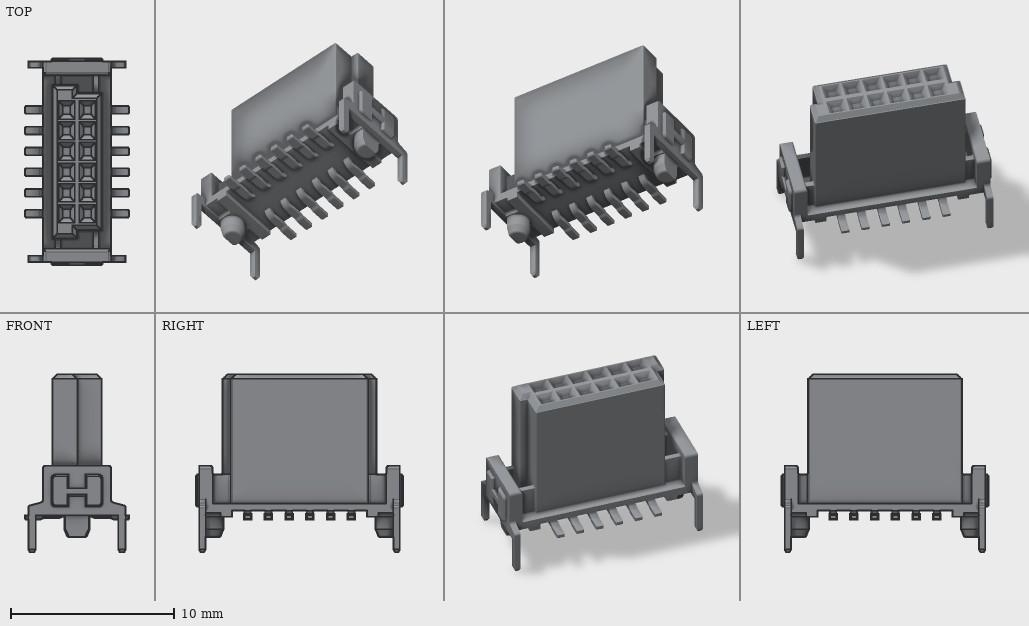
import cadquery as cq
import math


PITCH = 1.27
CONTACTS_PER_ROW = 6
COLUMN_X = PITCH / 2

HOUSING_HALF_X = 2.09
HOUSING_HALF_Y = 5.75
FLOOR_Z = 0.97
BASE_BOTTOM_Z = 0.556
PAD_BOTTOM_Z = 0.17
PAD_INNER_Y = 4.12
WALL_INNER_Y = 5.315
WALL_TOP_Z = 3.31
WALL_FILLET = 0.18
BASE_FILLET = 0.09

RECESS_INNER_X = 0.86
RECESS_INNER_Y = 4.82
RECESS_TOP_Z = 0.44
RECESS_FILLET = 0.1

TOWER_HALF_X = 1.53
TOWER_STEP_X = 0.035
TOWER_WIDE_HALF_Y = 4.72
TOWER_NARROW_HALF_Y = 4.22
TOWER_RIM_Z = 8.64
TOWER_TOP_Z = 8.91
TOWER_EDGE_FILLET = 0.09
RIM_LEDGE = 0.05

SOCKET_MOUTH = (0.985, 1.11)
SOCKET_FLOOR = (0.45, 0.51)
SOCKET_DEPTH = 0.34

RIB_CENTER_X = 1.16
RIB_WIDTH = 0.34
RIB_TOP_Z = 2.78
RIB_FLARE = 0.1

PEG_Y = 5.43
PEG_RADIUS = 0.78
PEG_SHOULDER_Z = -0.58
PEG_TIP_RADIUS = 0.58
PEG_TIP_Z = -1.065
PEG_TIP_FILLET = 0.15

PLATE_THICKNESS = 0.4
PLATE_BOTTOM_Z = 0.26
LEG_OUTER_X = 2.985
LEG_WIDTH = 0.46
LEG_TIP_Z = -2.0
LEG_TIP_LENGTH = 0.19
LEG_TIP_INSET = 0.1
SHOULDER_Z = 0.85
SHOULDER_ANGLE = 15.0
SHOULDER_INNER_FILLET = 0.2
SHOULDER_OUTER_FILLET = 0.15

H_HEIGHT = 0.2
H_HALF_X = 1.57
H_GAP_HALF_X = 0.49
H_BOTTOM_Z = 0.78
H_TOP_Z = 2.77
H_BAR_BOTTOM_Z = 1.45
H_BAR_TOP_Z = 1.93
H_CORNER_FILLET = 0.25
H_BEVEL = 0.1

LEAD_TIP_X = 3.2
LEAD_THICKNESS = 0.26
LEAD_WIDTH = 0.49
LEAD_NECK_WIDTH = 0.4
LEAD_RISE = 0.09
LEAD_RISE_OUTER_X = 2.32
LEAD_RISE_INNER_X = 2.0
LEAD_TAPER_OUTER_X = 1.5
LEAD_TAPER_INNER_X = 1.03
LEAD_BEND_X = 1.2
LEAD_BEND_RADIUS = 0.3
LEAD_TIP_CHAMFER = 0.07

TOLERANCE = 1e-3


def block(x0, x1, y0, y1, z0, z1):
    """Box given by its limits along each axis."""
    return cq.Workplane("XY").box(x1 - x0, y1 - y0, z1 - z0, centered=False).translate((x0, y0, z0))


def both_ends(shape):
    """The shape together with its mirror image at the other Y end."""
    return shape.union(shape.mirror("XZ"))


def tower_outline(inset, z):
    """Stepped tower outline at height z, moved inwards by inset."""
    left = -TOWER_HALF_X + inset
    right = TOWER_HALF_X - inset
    step = TOWER_STEP_X - inset
    wide = TOWER_WIDE_HALF_Y - inset
    narrow = TOWER_NARROW_HALF_Y - inset
    points = [
        (left, -wide), (step, -wide), (step, -narrow), (right, -narrow),
        (right, narrow), (step, narrow), (step, wide), (left, wide),
    ]
    return cq.Workplane("XY").workplane(offset=z).polyline(points).close()


def make_tower():
    """Stepped tower with rounded upright corners and a sloped rim around its top."""
    body = tower_outline(0, FLOOR_Z).extrude(TOWER_RIM_Z - FLOOR_Z)
    body = body.faces("<Y or >Y").edges("|Z").fillet(TOWER_EDGE_FILLET)
    body = body.faces(">X").edges("|Z").fillet(TOWER_EDGE_FILLET)
    rim_outline = tower_outline(RIM_LEDGE, TOWER_RIM_Z).val()
    top_outline = tower_outline(RIM_LEDGE + TOWER_TOP_Z - TOWER_RIM_Z, TOWER_TOP_Z).val()
    cap = cq.Solid.makeLoft([rim_outline, top_outline], True)
    return body.union(cap)


def contact_y(row):
    """Y position of a contact, counted from the -Y end."""
    return (row - (CONTACTS_PER_ROW - 1) / 2) * PITCH


def cut_sockets(body):
    """Sink a funnel-shaped socket opening for every contact into the tower top."""
    for column_x in (-COLUMN_X, COLUMN_X):
        for row in range(CONTACTS_PER_ROW):
            socket = (
                cq.Workplane("XY", origin=(column_x, contact_y(row), TOWER_TOP_Z - SOCKET_DEPTH))
                .rect(*SOCKET_FLOOR)
                .workplane(offset=SOCKET_DEPTH)
                .rect(*SOCKET_MOUTH)
                .loft(ruled=True)
            )
            body = body.cut(socket)
    return body


def make_end_wall():
    """End wall at +Y, rounded along its top corners and inner top edge."""
    blank = block(
        -HOUSING_HALF_X, HOUSING_HALF_X, WALL_INNER_Y, HOUSING_HALF_Y, FLOOR_Z, WALL_TOP_Z
    )
    rounded_corners = blank.faces(">Z").edges("|Y").fillet(WALL_FILLET)
    rounded_inner_edge = blank.faces("<Y").edges(">Z").fillet(WALL_FILLET)
    return rounded_corners.intersect(rounded_inner_edge)


def make_ribs():
    """Two ribs joining the tower to the +Y end wall, flared at both ends."""
    ribs = cq.Workplane("XY")
    reach = RIB_WIDTH / 2 + RIB_FLARE
    flare_top_z = RIB_TOP_Z + RIB_FLARE
    for side, start_y in ((-1, TOWER_WIDE_HALF_Y), (1, TOWER_NARROW_HALF_Y)):
        blank = block(-reach, reach, start_y, WALL_INNER_Y, FLOOR_Z, flare_top_z)
        beside = block(RIB_WIDTH / 2, 2 * reach, start_y, WALL_INNER_Y, FLOOR_Z, flare_top_z)
        beside = beside.faces("<X").edges("|Z").fillet(RIB_FLARE)
        above = block(-reach, reach, start_y, WALL_INNER_Y, RIB_TOP_Z, flare_top_z + RIB_FLARE)
        above = above.faces("<Z").edges("|X").fillet(RIB_FLARE)
        rib = blank.cut(beside).cut(beside.mirror("YZ")).cut(above)
        ribs = ribs.union(rib.translate((side * RIB_CENTER_X, 0, 0)))
    return ribs


def make_foot():
    """Foot under the +Y end of the base, with a recess in each outer corner."""
    foot = block(
        -HOUSING_HALF_X, HOUSING_HALF_X, PAD_INNER_Y, HOUSING_HALF_Y, PAD_BOTTOM_Z, BASE_BOTTOM_Z
    )
    recess = block(
        RECESS_INNER_X, HOUSING_HALF_X, RECESS_INNER_Y, HOUSING_HALF_Y, PAD_BOTTOM_Z, RECESS_TOP_Z
    )
    inner_edges = "(<X and <Y) or (>Z and <X) or (>Z and <Y)"
    recess = recess.edges(inner_edges).fillet(RECESS_FILLET)
    return foot.cut(recess).cut(recess.mirror("YZ"))


def round_floor_joints(housing):
    """Fillet every inner edge where tower, ribs and walls meet the floor."""
    def is_joint(edge):
        box = edge.BoundingBox()
        on_floor = max(abs(box.zmin - FLOOR_Z), abs(box.zmax - FLOOR_Z)) < TOLERANCE
        center = edge.Center()
        within_x = abs(center.x) < HOUSING_HALF_X - TOLERANCE
        within_y = abs(center.y) < HOUSING_HALF_Y - TOLERANCE
        return on_floor and within_x and within_y

    joints = [edge for edge in housing.edges().vals() if is_joint(edge)]
    return housing.newObject(joints).fillet(BASE_FILLET)


def make_housing():
    """Base slab with feet, tower, end walls and ribs."""
    slab = block(
        -HOUSING_HALF_X, HOUSING_HALF_X, -HOUSING_HALF_Y, HOUSING_HALF_Y, BASE_BOTTOM_Z, FLOOR_Z
    )
    housing = (
        slab.union(make_tower())
        .union(both_ends(make_end_wall()))
        .union(both_ends(make_ribs()))
        .clean()
    )
    housing = round_floor_joints(housing)
    housing = cut_sockets(housing)
    return housing.union(both_ends(make_foot()))


def make_peg():
    """Round locating peg under the +Y end, cut flat by the plate."""
    profile = [
        (0, BASE_BOTTOM_Z), (PEG_RADIUS, BASE_BOTTOM_Z), (PEG_RADIUS, PEG_SHOULDER_Z),
        (PEG_TIP_RADIUS, PEG_TIP_Z), (0, PEG_TIP_Z),
    ]
    peg = cq.Workplane("XZ").polyline(profile).close().revolve(axisStart=(0, 0), axisEnd=(0, 1))
    peg = peg.faces("<Z").edges().fillet(PEG_TIP_FILLET).translate((0, PEG_Y, 0))
    beyond = block(
        -PEG_RADIUS, PEG_RADIUS, HOUSING_HALF_Y, HOUSING_HALF_Y + PEG_RADIUS, PEG_TIP_Z, BASE_BOTTOM_Z
    )
    return peg.cut(beyond)


def make_plate():
    """Hold-down plate at the +Y end with its two legs and the raised pad."""
    shoulder_run = LEG_OUTER_X - HOUSING_HALF_X
    neck_z = SHOULDER_Z + shoulder_run * math.tan(math.radians(SHOULDER_ANGLE))
    leg_inner_x = LEG_OUTER_X - LEG_WIDTH
    tip_start_z = LEG_TIP_Z + LEG_TIP_LENGTH
    right_half = [
        (leg_inner_x, PLATE_BOTTOM_Z), (leg_inner_x, tip_start_z), (LEG_OUTER_X, tip_start_z),
        (LEG_OUTER_X, SHOULDER_Z), (HOUSING_HALF_X, neck_z), (HOUSING_HALF_X, WALL_TOP_Z),
    ]
    left_half = [(-x, z) for x, z in reversed(right_half)]
    plate = (
        cq.Workplane("XZ", origin=(0, HOUSING_HALF_Y + PLATE_THICKNESS, 0))
        .polyline(right_half + left_half).close().extrude(PLATE_THICKNESS)
    )
    plate = plate.faces(">Z").edges("|Y").fillet(WALL_FILLET)
    plate = fillet_along_y(plate, HOUSING_HALF_X, neck_z, SHOULDER_INNER_FILLET)
    plate = fillet_along_y(plate, LEG_OUTER_X, SHOULDER_Z, SHOULDER_OUTER_FILLET)
    taper = math.degrees(math.atan(LEG_TIP_INSET / LEG_TIP_LENGTH))
    for side in (-1, 1):
        tip_center = (
            side * (LEG_OUTER_X - LEG_WIDTH / 2), HOUSING_HALF_Y + PLATE_THICKNESS / 2, tip_start_z
        )
        tip = (
            cq.Workplane("XY", origin=tip_center)
            .rect(LEG_WIDTH, PLATE_THICKNESS).extrude(-LEG_TIP_LENGTH, taper=taper)
        )
        plate = plate.union(tip)
    return plate.union(make_h_pad())


def fillet_along_y(plate, x, z, radius):
    """Round the plate edges that run along Y at height z and at +x and -x."""
    edges = [
        edge for edge in plate.edges("|Y").vals()
        if math.hypot(abs(edge.Center().x) - x, edge.Center().z - z) < TOLERANCE
    ]
    return plate.newObject(edges).fillet(radius)


def make_h_pad():
    """Raised H on the outer plate face, bevelled all round except along the top of its bar."""
    face_y = HOUSING_HALF_Y + PLATE_THICKNESS
    outer_y = face_y + H_HEIGHT
    pad = block(-H_HALF_X, H_HALF_X, face_y, outer_y, H_BOTTOM_Z, H_TOP_Z)
    pad = pad.edges("|Y").fillet(H_CORNER_FILLET)
    for z0, z1 in ((H_BOTTOM_Z, H_BAR_BOTTOM_Z), (H_BAR_TOP_Z, H_TOP_Z)):
        pad = pad.cut(block(-H_GAP_HALF_X, H_GAP_HALF_X, face_y, outer_y, z0, z1))
    bevelled = [
        edge for edge in pad.faces(">Y").edges().vals()
        if math.hypot(edge.Center().x, edge.Center().z - H_BAR_TOP_Z) > TOLERANCE
    ]
    return pad.newObject(bevelled).chamfer(H_BEVEL)


def make_lead():
    """One lead on the -X side, centred on Y = 0: flat tail, small rise, bend upwards."""
    rise_mid_x = (LEAD_RISE_OUTER_X + LEAD_RISE_INNER_X) / 2
    bend_center_z = LEAD_RISE + LEAD_THICKNESS + LEAD_BEND_RADIUS
    outer_radius = LEAD_BEND_RADIUS + LEAD_THICKNESS
    side_profile = (
        cq.Workplane("XZ")
        .moveTo(-LEAD_TIP_X, 0)
        .lineTo(-LEAD_RISE_OUTER_X, 0)
        .tangentArcPoint((-rise_mid_x, LEAD_RISE / 2), relative=False)
        .tangentArcPoint((-LEAD_RISE_INNER_X, LEAD_RISE), relative=False)
        .lineTo(-LEAD_BEND_X, LEAD_RISE)
        .tangentArcPoint((-LEAD_BEND_X + outer_radius, bend_center_z), relative=False)
        .lineTo(-LEAD_BEND_X + LEAD_BEND_RADIUS, bend_center_z)
        .radiusArc((-LEAD_BEND_X, LEAD_RISE + LEAD_THICKNESS), LEAD_BEND_RADIUS)
        .lineTo(-LEAD_RISE_INNER_X, LEAD_RISE + LEAD_THICKNESS)
        .tangentArcPoint((-rise_mid_x, LEAD_RISE / 2 + LEAD_THICKNESS), relative=False)
        .tangentArcPoint((-LEAD_RISE_OUTER_X, LEAD_THICKNESS), relative=False)
        .lineTo(-LEAD_TIP_X, LEAD_THICKNESS)
        .close()
        .extrude(LEAD_WIDTH / 2, both=True)
    )
    half_width = LEAD_WIDTH / 2
    half_neck = LEAD_NECK_WIDTH / 2
    front_half = [
        (-LEAD_TIP_X, half_width), (-LEAD_TAPER_OUTER_X, half_width),
        (-LEAD_TAPER_INNER_X, half_neck), (0, half_neck),
    ]
    back_half = [(x, -y) for x, y in reversed(front_half)]
    plan = cq.Workplane("XY").polyline(front_half + back_half).close().extrude(FLOOR_Z)
    lead = side_profile.intersect(plan)
    return lead.faces("<X").edges("|Z or <Z").chamfer(LEAD_TIP_CHAMFER)


def make_leads():
    """All leads of both rows."""
    lead = make_lead()
    pair = lead.union(lead.mirror("YZ"))
    leads = cq.Workplane("XY")
    for row in range(CONTACTS_PER_ROW):
        leads = leads.union(pair.translate((0, contact_y(row), 0)))
    return leads


result = (
    make_housing()
    .union(both_ends(make_peg()))
    .union(both_ends(make_plate()))
    .union(make_leads())
)